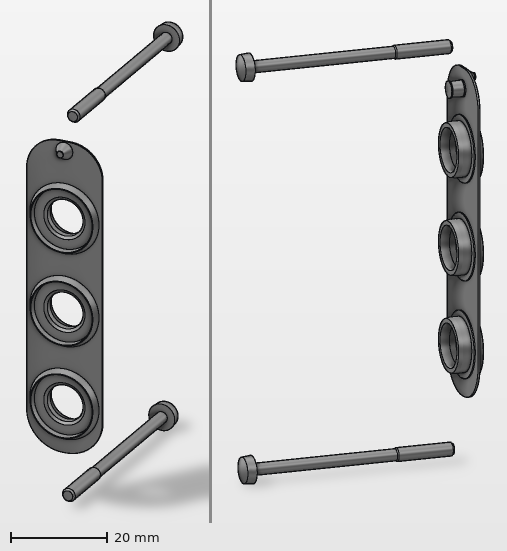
import cadquery as cq

OVERALL_DEPTH = 52.7
OVERALL_HEIGHT = 92.4

PLATE_WIDTH = 17.5
PLATE_THICKNESS = 0.5
PLATE_TOP_RADIUS = 7.4
PLATE_BOTTOM_RADIUS = 8.3
PLATE_BOTTOM_MARGIN = 11.1
PLATE_TOP_MARGIN = 17.5
GROMMET_PITCH = 21.1
GROMMET_COUNT = 3
GROMMET_SPAN = (GROMMET_COUNT - 1) * GROMMET_PITCH
PLATE_TOP = GROMMET_SPAN / 2 + PLATE_TOP_MARGIN
PLATE_BOTTOM = -GROMMET_SPAN / 2 - PLATE_BOTTOM_MARGIN

RIM_BASE_DIAMETER = 16.0
RIM_FRONT_DIAMETER = 14.5
RIM_HEIGHT = 1.4
RECESS_MOUTH_DIAMETER = 14.1
RECESS_FLOOR_DIAMETER = 13.9
BACK_DISC_DIAMETER = 14.4
BACK_DISC_END = 0.7
COLLAR_DIAMETER = 11.8
COLLAR_END_DIAMETER = 11.5
COLLAR_TAPER_START = 2.6
COLLAR_END = 3.6
BORE_MOUTH_DIAMETER = 9.5
THROAT_DIAMETER = 8.2
THROAT_START = 0.4
THROAT_LENGTH = 1.4
THROAT_END = THROAT_START + THROAT_LENGTH

CONE_DROP = 2.1
CONE_BASE_DIAMETER = 3.9
CONE_TIP_DIAMETER = 1.5
CONE_END = 1.9
CONE_LENGTH = 2.2

STUD_DROP = 4.4
STUD_BASE_DIAMETER = 3.5
STUD_NECK_DIAMETER = 3.2
STUD_FLANGE_DIAMETER = 3.7
STUD_FLANGE_THICKNESS = 0.3

SCREW_OFFSET_X = 0.6
SCREW_HEAD_DIAMETER = 6.0
SCREW_HEAD_BACK_DIAMETER = 5.6
SCREW_OFFSET_Z = OVERALL_HEIGHT / 2 - SCREW_HEAD_DIAMETER / 2
SHANK_DIAMETER = 2.6
THREAD_DIAMETER = 3.0
SCREW_TIP_DIAMETER = 2.2
SCREW_TIP_Y = 2.9
THREAD_START = 3.3
THREAD_END = 15.4
SHANK_START = 15.7
HEAD_START = 47.8
HEAD_END = 49.8
HEAD_DOME_TOP = OVERALL_DEPTH - CONE_LENGTH


def revolve_about_y(profile):
    """Revolve a closed (radius, y) outline about the Y axis."""
    return profile.close().revolve(360, (0, 0, 0), (0, 1, 0))


def place(body, x, z):
    return body.translate((x, 0, z))


def make_strip():
    return (
        cq.Workplane("XZ")
        .center(0, (PLATE_TOP + PLATE_BOTTOM) / 2)
        .rect(PLATE_WIDTH, PLATE_TOP - PLATE_BOTTOM)
        .extrude(-PLATE_THICKNESS)
        .edges("|Y and >Z")
        .fillet(PLATE_TOP_RADIUS)
        .edges("|Y and <Z")
        .fillet(PLATE_BOTTOM_RADIUS)
    )


def make_grommet():
    outline = (
        cq.Workplane("XY")
        .lineTo(RECESS_FLOOR_DIAMETER / 2, 0)
        .lineTo(RECESS_MOUTH_DIAMETER / 2, -RIM_HEIGHT)
        .lineTo(RIM_FRONT_DIAMETER / 2, -RIM_HEIGHT)
        .lineTo(RIM_BASE_DIAMETER / 2, 0)
        .lineTo(BACK_DISC_DIAMETER / 2, PLATE_THICKNESS)
        .lineTo(BACK_DISC_DIAMETER / 2, BACK_DISC_END)
        .lineTo(COLLAR_DIAMETER / 2, BACK_DISC_END)
        .lineTo(COLLAR_DIAMETER / 2, COLLAR_TAPER_START)
        .lineTo(COLLAR_END_DIAMETER / 2, COLLAR_END)
        .lineTo(0, COLLAR_END)
    )
    return revolve_about_y(outline)


def make_bore():
    outline = (
        cq.Workplane("XY")
        .lineTo(BORE_MOUTH_DIAMETER / 2, 0)
        .lineTo(THROAT_DIAMETER / 2, THROAT_START)
        .lineTo(THROAT_DIAMETER / 2, THROAT_END)
        .lineTo(BORE_MOUTH_DIAMETER / 2, COLLAR_END)
        .lineTo(0, COLLAR_END)
    )
    return revolve_about_y(outline)


def make_cone():
    outline = (
        cq.Workplane("XY")
        .lineTo(CONE_BASE_DIAMETER / 2, 0)
        .lineTo(CONE_TIP_DIAMETER / 2, -CONE_END)
        .lineTo(CONE_TIP_DIAMETER / 2, -CONE_LENGTH)
        .lineTo(0, -CONE_LENGTH)
    )
    return revolve_about_y(outline)


def make_stud():
    flange_start = COLLAR_END - STUD_FLANGE_THICKNESS
    outline = (
        cq.Workplane("XY")
        .lineTo(STUD_FLANGE_DIAMETER / 2, 0)
        .lineTo(STUD_FLANGE_DIAMETER / 2, BACK_DISC_END)
        .lineTo(STUD_BASE_DIAMETER / 2, BACK_DISC_END)
        .lineTo(STUD_NECK_DIAMETER / 2, flange_start)
        .lineTo(STUD_FLANGE_DIAMETER / 2, flange_start)
        .lineTo(STUD_FLANGE_DIAMETER / 2, COLLAR_END)
        .lineTo(0, COLLAR_END)
    )
    return revolve_about_y(outline)


def make_plate():
    plate = make_strip()
    plate = plate.union(place(make_cone(), 0, PLATE_TOP - CONE_DROP))
    plate = plate.union(place(make_stud(), 0, PLATE_TOP - STUD_DROP))
    for index in range(GROMMET_COUNT):
        axis_z = index * GROMMET_PITCH - GROMMET_SPAN / 2
        plate = plate.union(place(make_grommet(), 0, axis_z))
        plate = plate.cut(place(make_bore(), 0, axis_z))
    return plate


def make_screw():
    dome_height = HEAD_DOME_TOP - HEAD_END
    rim_radius = SCREW_HEAD_BACK_DIAMETER / 2
    dome_radius = (rim_radius**2 + dome_height**2) / (2 * dome_height)
    outline = (
        cq.Workplane("XY")
        .moveTo(0, SCREW_TIP_Y)
        .lineTo(SCREW_TIP_DIAMETER / 2, SCREW_TIP_Y)
        .lineTo(THREAD_DIAMETER / 2, THREAD_START)
        .lineTo(THREAD_DIAMETER / 2, THREAD_END)
        .lineTo(SHANK_DIAMETER / 2, SHANK_START)
        .lineTo(SHANK_DIAMETER / 2, HEAD_START)
        .lineTo(SCREW_HEAD_DIAMETER / 2, HEAD_START)
        .lineTo(rim_radius, HEAD_END)
        .radiusArc((0, HEAD_DOME_TOP), -dome_radius)
    )
    return revolve_about_y(outline)


plate = make_plate()
screws = []
for side in (1, -1):
    screws.append(place(make_screw(), side * SCREW_OFFSET_X, side * SCREW_OFFSET_Z))

result = cq.Compound.makeCompound([plate.val(), *[screw.val() for screw in screws]])